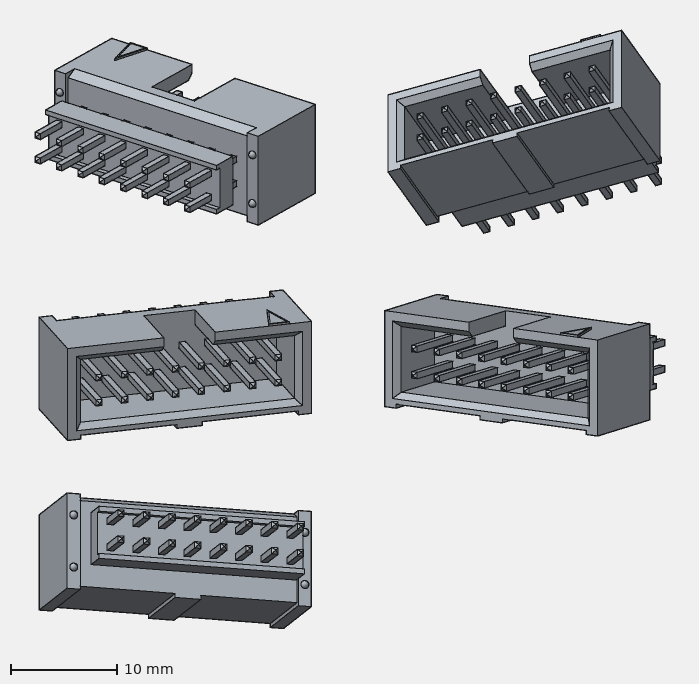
import cadquery as cq
import math


COLUMNS = 8
ROWS = 2
PITCH = 2.53
PIN_SIZE = 0.63
TIP_SIZE = 0.1
TIP_LENGTH = 0.27
OVERALL_LENGTH = 16.0

HOUSING_WIDTH = 24.13
HOUSING_HEIGHT = 9.27
HOUSING_LENGTH = 8.9
WALL = 1.47
MOUTH_CHAMFER_WIDTH = 0.58
MOUTH_CHAMFER_DEPTH = 0.6
CAVITY_DEPTH = 6.27
KEY_SLOT_WIDTH = 2 * PITCH
SHOULDER_WIDTH = 1.3
SHOULDER_STEP = 0.39
TOP_BEVEL_DROP = 0.55
TOP_BEVEL_LENGTH = 1.04
UNDERSIDE_RECESS = 0.39
KEEL_WIDTH = PITCH
NUB_RADIUS = 0.39

SPACER_GAP = 1.42
SPACER_LENGTH = PITCH
SPACER_WIDTH = COLUMNS * PITCH
SPACER_HEIGHT = ROWS * PITCH
LIP_THICKNESS = 0.48
LIP_DEPTH = 0.5

MARKER_WIDTH = 2.03
MARKER_LENGTH = 3.8
MARKER_HEIGHT = 0.2
MARKER_OFFSET = 8.85
MARKER_RIM = 0.15

MID_HEIGHT = HOUSING_HEIGHT / 2
SHOULDER_FACE = -HOUSING_LENGTH
BASE_FACE = SHOULDER_FACE + SHOULDER_STEP
BASE_WIDTH = HOUSING_WIDTH - 2 * SHOULDER_WIDTH
SPACER_BACK = SHOULDER_FACE - SPACER_GAP
SPACER_FRONT = SPACER_BACK - SPACER_LENGTH
PIN_PLACES = [
    ((column - (COLUMNS - 1) / 2) * PITCH, MID_HEIGHT + (row - (ROWS - 1) / 2) * PITCH)
    for column in range(COLUMNS)
    for row in range(ROWS)
]


def block(width, y_start, y_end, z_start, z_end, x_centre=0.0):
    """Box of the given width between two Y planes and two Z planes."""
    return (
        cq.Workplane("XY")
        .box(width, y_end - y_start, z_end - z_start, centered=(True, False, False))
        .translate((x_centre, y_start, z_start))
    )


def frustum(y_start, start_size, y_end, end_size, x=0.0, z=0.0):
    """Rectangular taper along Y between two (width, height) sections centred on (x, z)."""
    return (
        cq.Workplane("XZ", origin=(x, y_start, z))
        .rect(*start_size)
        .workplane(offset=y_start - y_end)
        .rect(*end_size)
        .loft(ruled=True)
    )


def make_cavity():
    """Mating cavity with a bevelled mouth and the key slot through the top wall."""
    width = HOUSING_WIDTH - 2 * WALL
    height = HOUSING_HEIGHT - 2 * WALL
    mouth = (width + 2 * MOUTH_CHAMFER_WIDTH, height + 2 * MOUTH_CHAMFER_WIDTH)
    cavity = block(width, -CAVITY_DEPTH, 0, WALL, HOUSING_HEIGHT - WALL)
    bevel = frustum(0, mouth, -MOUTH_CHAMFER_DEPTH, (width, height), z=MID_HEIGHT)
    key_slot = block(KEY_SLOT_WIDTH, -CAVITY_DEPTH, 0, MID_HEIGHT, HOUSING_HEIGHT)
    return cavity.union(bevel).union(key_slot)


def make_top_bevel():
    """Wedge that slopes the top edge of the base between the two shoulders."""
    slope_start = BASE_FACE + TOP_BEVEL_LENGTH
    return (
        cq.Workplane("YZ")
        .polyline([
            (BASE_FACE, HOUSING_HEIGHT),
            (slope_start, HOUSING_HEIGHT),
            (BASE_FACE, HOUSING_HEIGHT - TOP_BEVEL_DROP),
        ])
        .close()
        .extrude(BASE_WIDTH / 2, both=True)
    )


def make_nubs():
    """Four half-round standoffs, two on each shoulder."""
    x_nub = (HOUSING_WIDTH - SHOULDER_WIDTH) / 2
    places = [
        (side * x_nub, MID_HEIGHT + level * PITCH)
        for side in (-1, 1)
        for level in (-1, 1)
    ]
    return cq.Workplane("XZ", origin=(0, SHOULDER_FACE, 0)).pushPoints(places).sphere(NUB_RADIUS)


def make_housing():
    """Shrouded housing whose rear wall has one square hole for each pin."""
    housing = block(HOUSING_WIDTH, SHOULDER_FACE, 0, 0, HOUSING_HEIGHT)
    housing = housing.union(make_nubs())
    housing = housing.cut(block(BASE_WIDTH, SHOULDER_FACE, BASE_FACE, 0, HOUSING_HEIGHT))
    housing = housing.cut(make_top_bevel())

    recess_width = (BASE_WIDTH - KEEL_WIDTH) / 2
    recess_centre = (BASE_WIDTH + KEEL_WIDTH) / 4
    for side in (-1, 1):
        housing = housing.cut(
            block(recess_width, SHOULDER_FACE, 0, 0, UNDERSIDE_RECESS, side * recess_centre)
        )

    housing = housing.cut(make_cavity())
    for x, z in PIN_PLACES:
        housing = housing.cut(
            block(PIN_SIZE, BASE_FACE, -CAVITY_DEPTH, z - PIN_SIZE / 2, z + PIN_SIZE / 2, x)
        )
    return housing


def make_pin(x, z):
    """Square pin along Y with a tapered tip at each end."""
    back_end = 0
    front_end = -OVERALL_LENGTH
    shank = (PIN_SIZE, PIN_SIZE)
    tip = (TIP_SIZE, TIP_SIZE)
    shank_back = back_end - TIP_LENGTH
    shank_front = front_end + TIP_LENGTH
    pin = block(PIN_SIZE, shank_front, shank_back, z - PIN_SIZE / 2, z + PIN_SIZE / 2, x)
    pin = pin.union(frustum(back_end, tip, shank_back, shank, x, z))
    return pin.union(frustum(shank_front, shank, front_end, tip, x, z))


def make_pin_header():
    """Spacer bar with a lip along its top and bottom front edges, carrying all the pins."""
    bottom = MID_HEIGHT - SPACER_HEIGHT / 2
    top = MID_HEIGHT + SPACER_HEIGHT / 2
    header = block(SPACER_WIDTH, SPACER_FRONT, SPACER_BACK, bottom, top)
    channel = block(
        SPACER_WIDTH, SPACER_FRONT, SPACER_FRONT + LIP_DEPTH, bottom + LIP_THICKNESS, top - LIP_THICKNESS
    )
    header = header.cut(channel)
    for x, z in PIN_PLACES:
        header = header.union(make_pin(x, z))
    return header


def marker_triangle(inset):
    """Raised triangle pointing toward -Y, with every side moved inward by the inset."""
    half_angle = math.atan2(MARKER_WIDTH / 2, MARKER_LENGTH)
    y_tip = -MARKER_LENGTH + inset / math.sin(half_angle)
    half_width = (-inset - y_tip) * math.tan(half_angle)
    return (
        cq.Workplane("XY", origin=(-MARKER_OFFSET, 0, HOUSING_HEIGHT))
        .polyline([(-half_width, -inset), (half_width, -inset), (0, y_tip)])
        .close()
        .extrude(MARKER_HEIGHT)
    )


housing = make_housing()
pin_header = make_pin_header()
marker_inlay = marker_triangle(MARKER_RIM)
marker_frame = marker_triangle(0).cut(marker_inlay)

result = cq.Compound.makeCompound([
    housing.val(),
    pin_header.val(),
    marker_frame.val(),
    marker_inlay.val(),
])